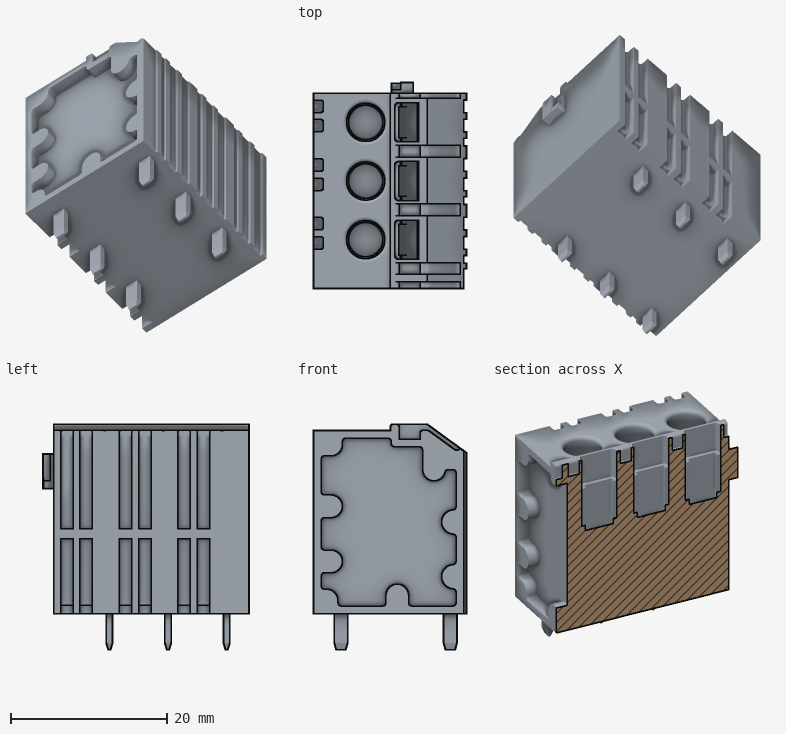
import math

import cadquery as cq

pole_count = 3
pole_pitch = 7.5
first_pole_y = 6.25
body_length = 25.0
rib_face_x = 19.6
body_face_x = 19.25
deck_z = 23.45
crown_z = 24.25
crown_start_x = 9.86
crown_end_x = 14.55
slope_angle = 36.0
crown_fillet = 0.3

groove_width = 1.6
groove_offsets = (-0.42, 2.05)
groove_depth = 1.28
groove_corner_radius = 0.35
groove_bridge_bottom = 9.6
groove_bridge_top = 10.85
groove_foot_height = 1.12
groove_foot_depth = 1.6
narrow_groove_width = 0.95
narrow_groove_offset = -2.52
plain_end_length = 2.5

entry_x = 6.69
entry_diameter = 4.9
entry_floor_diameter = 4.4
entry_lip_radius = 0.5
entry_straight_depth = 2.6
entry_cone_depth = 1.0

pocket_x = (10.4, 13.48)
pocket_width = 5.0
pocket_depth = 4.0
pocket_corner_radius = 0.5
shaft_top_x = 13.26
shaft_left_x = 11.3
shaft_knee_x = 11.88
shaft_depth = 4.0
shaft_lead_in = 0.2
slit_width = 3.95
slit_left_x = 10.9
slit_depth = 4.0
shaft_toe_depth = 1.6

slot_width = 1.5
slot_offset = -3.69
end_slot_length = 0.85
slot_wall_x = 10.98
slot_floor_z = 22.35
slot_step_x = 13.65
slot_step_z = 23.46
slot_slope_depth = 0.55
slot_end_x = 18.78
slot_step_fillet = 0.35
slot_bend_fillet = 0.5
slot_lip_radius = 0.37

recess_depth = 1.6
recess_corner_radius = 0.45
recess_left = 1.0
recess_right = 18.25
recess_bottom = 1.0
recess_top = 22.45
recess_step_x = 9.96
recess_step_z = 21.35
boss_radius = 1.45
left_boss_x = 2.27
left_boss_zs = (6.7, 13.75)
right_boss_x = 17.95
right_boss_radius = 1.55
right_boss_zs = (4.75, 11.75)
bottom_boss = (10.73, 2.36)
trough_boss = (15.43, 18.45)
corner_boss_top = (2.27, 21.65)
corner_boss_bottom = (1.7, 1.7)

pin_x = (3.53, 17.51)
pin_offset = -3.39
pin_width = 1.74
pin_thickness = 0.85
pin_length = 4.6
pin_tip_length = 0.88
pin_tip_width = 1.25
pin_tip_thickness = 0.3
pin_embed = 1.0

hook_left = 9.96
hook_right = 12.8
hook_bottom = 15.97
hook_top = 20.45
hook_web_thickness = 0.4
hook_length = 1.35
hook_embed = 0.5
hook_arm_setback = 0.1
hook_post_x = 11.15
hook_arm_top = 17.0
hook_arm_radius = 0.25
hook_edge_radius = 0.35

overcut = 1.0
slope_tan = math.tan(math.radians(slope_angle))
slope_normal = (math.sin(math.radians(slope_angle)), math.cos(math.radians(slope_angle)))
pole_ys = [first_pole_y + i * pole_pitch for i in range(pole_count)]


def slope_z(x):
    """Height of the sloped roof at x."""
    return crown_z - (x - crown_end_x) * slope_tan


def box(x_range, y_range, z_range):
    """Axis-aligned block given by its limits."""
    size = [high - low for low, high in (x_range, y_range, z_range)]
    corner = (x_range[0], y_range[0], z_range[0])
    return cq.Workplane("XY").box(*size, centered=False).translate(corner)


def extrude_y(sketch, y_start, y_end):
    """Extrude a closed XZ outline from y_start to y_end."""
    return sketch.extrude(-(y_end - y_start)).translate((0, y_start, 0))


def make_housing():
    """Solid housing with the raised crown and its sloped roof."""
    outline = (
        cq.Workplane("XZ")
        .moveTo(0, 0)
        .lineTo(rib_face_x, 0)
        .lineTo(rib_face_x, slope_z(rib_face_x))
        .lineTo(crown_end_x, crown_z)
        .lineTo(crown_start_x, crown_z)
        .lineTo(crown_start_x, deck_z)
        .lineTo(0, deck_z)
        .close()
    )
    housing = extrude_y(outline, 0, body_length)
    crown_edge = cq.selectors.NearestToPointSelector((crown_start_x, body_length / 2, crown_z))
    return housing.edges(crown_edge).fillet(crown_fillet)


def left_groove(y_center):
    """Rounded groove in the -X face, interrupted by a bridge and squared off at the foot."""
    y_range = (y_center - groove_width / 2, y_center + groove_width / 2)
    groove = box((-overcut, groove_depth), y_range, (groove_foot_height, deck_z + overcut))
    groove = groove.edges("|Z and >X").fillet(groove_corner_radius)
    bridge = box((-overcut, groove_depth), y_range, (groove_bridge_bottom, groove_bridge_top))
    foot = box((-overcut, groove_foot_depth), y_range, (-overcut, groove_foot_height))
    return groove.cut(bridge).union(foot)


def right_groove(y_start, y_end):
    """Shallow full-height groove in the +X face; the material left between forms the ribs."""
    return box((body_face_x, rib_face_x + overcut), (y_start, y_end), (-overcut, crown_z))


def wire_entry(y_center):
    """Round entry with a rounded lip, straight bore and a short conical bottom."""
    bore_radius = entry_diameter / 2
    cone_start_z = deck_z - entry_straight_depth
    floor_z = cone_start_z - entry_cone_depth
    profile = (
        cq.Workplane("XZ")
        .moveTo(0, deck_z)
        .lineTo(bore_radius + entry_lip_radius, deck_z)
        .radiusArc((bore_radius, deck_z - entry_lip_radius), -entry_lip_radius)
        .lineTo(bore_radius, cone_start_z)
        .lineTo(entry_floor_diameter / 2, floor_z)
        .lineTo(0, floor_z)
        .close()
    )
    return profile.revolve(360, (0, 0, 0), (0, 1, 0)).translate((entry_x, y_center, 0))


def release_pocket(y_center):
    """Rectangular mouth leading into a leaning shaft with a narrower slit below."""
    mouth_floor = crown_z - pocket_depth
    knee_z = mouth_floor - shaft_depth
    y_range = (y_center - pocket_width / 2, y_center + pocket_width / 2)
    mouth = box(pocket_x, y_range, (mouth_floor, crown_z + overcut))
    mouth = mouth.edges("|Z and <X").fillet(pocket_corner_radius)
    shaft = cq.Workplane("XZ").polyline([
        (shaft_left_x - shaft_lead_in, mouth_floor),
        (shaft_top_x, mouth_floor),
        (shaft_knee_x, knee_z),
        (shaft_left_x, knee_z - shaft_toe_depth),
        (shaft_left_x, mouth_floor - shaft_lead_in),
    ]).close()
    slit = cq.Workplane("XZ").polyline([
        (slit_left_x, mouth_floor),
        (shaft_left_x, mouth_floor),
        (shaft_knee_x, knee_z),
        (slit_left_x, knee_z - slit_depth),
    ]).close()
    pocket = mouth.union(extrude_y(shaft, *y_range))
    return pocket.union(extrude_y(slit, y_center - slit_width / 2, y_center + slit_width / 2))


def crown_slot(y_start, y_end):
    """Slot that follows the crown and its slope, with a deeper trough at the -X end."""
    floor_drop = slot_slope_depth / slope_normal[1]
    slope_start_x = crown_end_x + (crown_z - floor_drop - slot_step_z) / slope_tan
    end_surface = (slot_end_x, slope_z(slot_end_x))
    end_floor = tuple(p - slot_slope_depth * n for p, n in zip(end_surface, slope_normal))
    end_above = tuple(p + overcut * n for p, n in zip(end_surface, slope_normal))
    outline = (
        cq.Workplane("XZ")
        .moveTo(slot_wall_x - slot_lip_radius, crown_z)
        .radiusArc((slot_wall_x, crown_z - slot_lip_radius), slot_lip_radius)
        .lineTo(slot_wall_x, slot_floor_z)
        .lineTo(slot_step_x, slot_floor_z)
        .lineTo(slot_step_x, slot_step_z)
        .lineTo(slope_start_x, slot_step_z)
        .lineTo(*end_floor)
        .lineTo(*end_above)
        .lineTo(crown_end_x, crown_z + overcut)
        .lineTo(slot_wall_x - slot_lip_radius, crown_z + overcut)
        .close()
    )
    slot = extrude_y(outline, y_start, y_end)
    y_mid = (y_start + y_end) / 2
    rounded_corners = (
        ((slot_step_x, slot_step_z), slot_step_fillet),
        ((slope_start_x, slot_step_z), slot_bend_fillet),
        (end_floor, slot_bend_fillet),
    )
    for (x, z), radius in rounded_corners:
        corner = cq.selectors.NearestToPointSelector((x, y_mid, z))
        slot = slot.edges(corner).fillet(radius)
    return slot


def nose(center, radius):
    """Round nose of a boss in the front recess, centred at (x, z)."""
    return extrude_y(cq.Workplane("XZ").center(*center).circle(radius), 0, recess_depth)


def boss(center, reach_x, reach_z):
    """Round nose joined to the recess rim by blocks reaching sideways and up or down."""
    x, z = center
    y_range = (0, recess_depth)
    body = nose(center, boss_radius)
    if reach_x:
        stem_x = sorted((x, x + reach_x))
        body = body.union(box(stem_x, y_range, (z - boss_radius, z + boss_radius)))
    if reach_z:
        stem_z = sorted((z, z + reach_z))
        body = body.union(box((x - boss_radius, x + boss_radius), y_range, stem_z))
    return body


def front_recess():
    """Flat recess in the front face, wrapped around round-nosed bosses on its rim."""
    trough_x = trough_boss[0] - boss_radius
    field = cq.Workplane("XZ").polyline([
        (recess_left, recess_bottom),
        (recess_right, recess_bottom),
        (recess_right, trough_boss[1]),
        (trough_x, trough_boss[1]),
        (trough_x, recess_step_z),
        (recess_step_x, recess_step_z),
        (recess_step_x, recess_top),
        (recess_left, recess_top),
    ]).close()
    field = extrude_y(field, 0, recess_depth)
    step_corner = (recess_step_x, recess_depth / 2, recess_step_z)
    field = field.edges(cq.selectors.NearestToPointSelector(step_corner)).fillet(recess_corner_radius)

    reach = 2 * boss_radius
    for z in left_boss_zs:
        field = field.cut(boss((left_boss_x, z), -reach, 0))
    for z in right_boss_zs:
        field = field.cut(nose((right_boss_x, z), right_boss_radius))
    field = field.cut(boss(bottom_boss, 0, -reach))
    field = field.cut(nose(trough_boss, boss_radius))
    field = field.cut(boss(corner_boss_top, -reach, reach))
    field = field.cut(boss(corner_boss_bottom, -reach, -reach))
    rim = field.faces("<Y").wires().val()
    rounded = rim.offset2D(-recess_corner_radius)[0].offset2D(recess_corner_radius)[0]
    return cq.Workplane(cq.Solid.extrudeLinear(rounded, [], cq.Vector(0, recess_depth, 0)))


def make_pin(x, y):
    """Flat contact pin with a tapered tip."""
    tip_start_z = pin_tip_length - pin_length
    shank = (
        cq.Workplane("XY", origin=(x, y, tip_start_z))
        .rect(pin_width, pin_thickness)
        .extrude(pin_embed - tip_start_z)
    )
    tip = (
        cq.Workplane("XY", origin=(x, y, tip_start_z))
        .rect(pin_width, pin_thickness)
        .workplane(offset=-pin_tip_length)
        .rect(pin_tip_width, pin_tip_thickness)
        .loft()
    )
    return shank.union(tip)


def make_hook():
    """L-shaped coupling hook standing on a thin web on the back face."""
    y_end = body_length + hook_length
    web_end = body_length + hook_web_thickness
    y_root = body_length - hook_embed
    plate = box((hook_left, hook_right), (y_root, y_end), (hook_bottom, hook_top))
    plate = plate.edges("|Y").edges("<X or >Z").fillet(hook_edge_radius)
    opening = box(
        (hook_left - overcut, hook_post_x),
        (web_end, y_end + overcut),
        (hook_arm_top, hook_top + overcut),
    )
    opening = opening.edges("|Y and >X and <Z").fillet(hook_arm_radius)
    setback = box((hook_left, hook_post_x), (y_end - hook_arm_setback, y_end), (hook_bottom, hook_top))
    return plate.cut(opening).cut(setback)


result = make_housing()
for pole_y in pole_ys:
    result = result.cut(wire_entry(pole_y)).cut(release_pocket(pole_y))
    for offset in groove_offsets:
        groove_y = pole_y + offset
        result = result.cut(left_groove(groove_y))
        result = result.cut(right_groove(groove_y - groove_width / 2, groove_y + groove_width / 2))
    slot_y = pole_y + slot_offset
    result = result.cut(crown_slot(slot_y - slot_width / 2, slot_y + slot_width / 2))

for pole_y in pole_ys:
    groove_y = pole_y + narrow_groove_offset
    result = result.cut(right_groove(groove_y - narrow_groove_width / 2, groove_y + narrow_groove_width / 2))
result = result.cut(right_groove(-overcut, plain_end_length))

result = result.cut(crown_slot(-overcut, end_slot_length))
last_slot_y = pole_ys[-1] + pole_pitch + slot_offset
result = result.cut(crown_slot(last_slot_y - slot_width / 2, body_length + overcut))
result = result.cut(front_recess())

for pole_y in pole_ys:
    for x in pin_x:
        result = result.union(make_pin(x, pole_y + pin_offset))
result = result.union(make_hook())